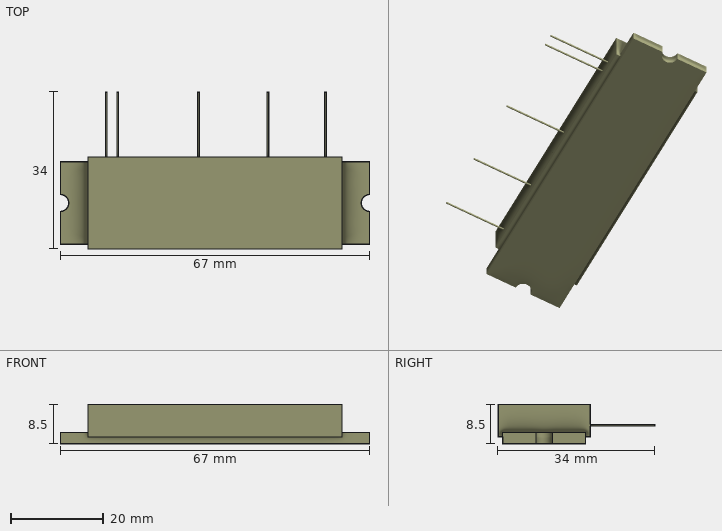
import cadquery as cq

flange_length = 67.0
flange_width = 17.95
flange_thickness = 2.5
notch_diameter = 3.6

body_length = 55.0
body_width = 19.95
body_bottom = 1.5
body_top = 8.5

pin_diameter = 0.4
pin_length = 14.0
pin_height = 4.0
pin_row_offset = 0.2
pin_row_length = 47.5
pin_grid_steps = 19
pin_positions = (0, 1, 8, 14, 19)
pin_embed = 0.7


def make_flange():
    """Flat plate with a half-round screw notch in the middle of each end."""
    plate = cq.Workplane("XY").box(
        flange_length, flange_width, flange_thickness, centered=(True, True, False)
    )
    notches = (
        cq.Workplane("XY")
        .pushPoints([(-flange_length / 2, 0), (flange_length / 2, 0)])
        .circle(notch_diameter / 2)
        .extrude(flange_thickness)
    )
    return plate.cut(notches)


def make_body():
    """Rectangular housing that hangs slightly over the flange sides."""
    return (
        cq.Workplane("XY", origin=(0, 0, body_bottom))
        .rect(body_length, body_width)
        .extrude(body_top - body_bottom)
    )


def make_pins():
    """Round pins pointing along +Y, rooted inside the body."""
    pitch = pin_row_length / pin_grid_steps
    row_start = pin_row_offset - pin_row_length / 2
    centres = [(row_start + position * pitch, 0) for position in pin_positions]
    pin_tip = body_width / 2 + pin_length
    return (
        cq.Workplane("XZ", origin=(0, pin_tip, pin_height))
        .pushPoints(centres)
        .circle(pin_diameter / 2)
        .extrude(pin_length + pin_embed)
    )


result = make_flange().union(make_body()).union(make_pins())